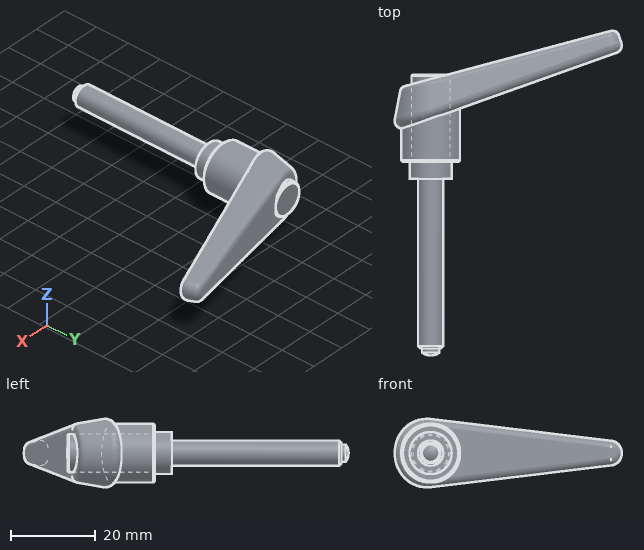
import cadquery as cq
import math


HUB_RADIUS = 7.0
HUB_TOP = 13.8
HUB_CHAMFER = 0.45

LOWER_SLOPE = 19.6
LOWER_HEIGHT = 10.1
LOWER_HEAD_OFFSET = -1.15
LOWER_HEAD_RADIUS = 8.5
LOWER_TIP_OFFSET = 45.2
LOWER_TIP_RADIUS = 3.3
UPPER_SLOPE = 15.0
UPPER_HEIGHT = 19.6
UPPER_HEAD_OFFSET = -0.45
UPPER_HEAD_RADIUS = 6.8
UPPER_TIP_OFFSET = 43.1
UPPER_TIP_RADIUS = 2.45
LOWER_FILLET = 1.85
UPPER_FILLET = 1.5

BUTTON_RADIUS = 4.5
BUTTON_TOP = 20.65
BUTTON_CHAMFER = 0.3
COLLAR_RADIUS = 5.0
COLLAR_LENGTH = 4.0
SHAFT_RADIUS = 3.0
SHAFT_END = -44.1
SHAFT_CHAMFER = 0.6
NOSE_RADIUS = 2.1
NOSE_LENGTH = 0.9
DOME_HEIGHT = 0.8


def arm_outline(slope, height, head_x, head_radius, tip_x, tip_radius):
    """Two round ends joined by tangent lines, on a plane rising along +X."""
    angle = math.radians(slope)
    plane = cq.Plane(
        origin=(0, height, 0),
        xDir=(math.cos(angle), math.sin(angle), 0),
        normal=(-math.sin(angle), math.cos(angle), 0),
    )
    tangent_cos = (head_radius - tip_radius) / (tip_x - head_x)
    tangent_sin = math.sqrt(1 - tangent_cos**2)
    head_tangent_x = head_x + head_radius * tangent_cos
    head_tangent_z = head_radius * tangent_sin
    tip_tangent_x = tip_x + tip_radius * tangent_cos
    tip_tangent_z = tip_radius * tangent_sin
    outline = (
        cq.Workplane(plane)
        .moveTo(head_tangent_x, -head_tangent_z)
        .lineTo(tip_tangent_x, -tip_tangent_z)
        .threePointArc((tip_x + tip_radius, 0), (tip_tangent_x, tip_tangent_z))
        .lineTo(head_tangent_x, head_tangent_z)
        .threePointArc((head_x - head_radius, 0), (head_tangent_x, -head_tangent_z))
        .close()
    )
    return outline.val()


def make_arm():
    """Tapered arm between its two sloping faces, with rounded rims."""
    lower = arm_outline(
        LOWER_SLOPE, LOWER_HEIGHT, LOWER_HEAD_OFFSET, LOWER_HEAD_RADIUS, LOWER_TIP_OFFSET, LOWER_TIP_RADIUS
    )
    upper = arm_outline(
        UPPER_SLOPE, UPPER_HEIGHT, UPPER_HEAD_OFFSET, UPPER_HEAD_RADIUS, UPPER_TIP_OFFSET, UPPER_TIP_RADIUS
    )
    arm = cq.Workplane(cq.Solid.makeLoft([lower, upper], True))
    arm = arm.faces("%PLANE").faces("<Y").edges().fillet(LOWER_FILLET)
    return arm.faces("%PLANE").faces(">Y").edges().fillet(UPPER_FILLET)


def make_hub():
    """Round hub under the arm, chamfered at its lower rim."""
    hub = cq.Workplane("XZ").circle(HUB_RADIUS).extrude(-HUB_TOP)
    return hub.faces("<Y").edges().chamfer(HUB_CHAMFER)


def make_handle():
    """Arm and hub in one piece, bored through for the pin."""
    bore = cq.Workplane("XZ").circle(BUTTON_RADIUS).extrude(-2 * BUTTON_TOP)
    return make_arm().union(make_hub()).cut(bore)


def make_pin():
    """Turned pin: button, collar, shaft and domed nose."""
    nose_end = SHAFT_END - NOSE_LENGTH
    dome_end = nose_end - DOME_HEIGHT
    dome_radius = (NOSE_RADIUS**2 + DOME_HEIGHT**2) / (2 * DOME_HEIGHT)
    half_angle = math.asin(NOSE_RADIUS / dome_radius) / 2
    dome_middle = (
        dome_radius * math.sin(half_angle),
        dome_end + dome_radius * (1 - math.cos(half_angle)),
    )
    profile = (
        cq.Workplane("XY")
        .moveTo(0, BUTTON_TOP)
        .lineTo(BUTTON_RADIUS - BUTTON_CHAMFER, BUTTON_TOP)
        .lineTo(BUTTON_RADIUS, BUTTON_TOP - BUTTON_CHAMFER)
        .lineTo(BUTTON_RADIUS, 0)
        .lineTo(COLLAR_RADIUS, 0)
        .lineTo(COLLAR_RADIUS, -COLLAR_LENGTH)
        .lineTo(SHAFT_RADIUS, -COLLAR_LENGTH)
        .lineTo(SHAFT_RADIUS, SHAFT_END + SHAFT_CHAMFER)
        .lineTo(SHAFT_RADIUS - SHAFT_CHAMFER, SHAFT_END)
        .lineTo(NOSE_RADIUS, SHAFT_END)
        .lineTo(NOSE_RADIUS, nose_end)
        .threePointArc(dome_middle, (0, dome_end))
        .close()
    )
    return profile.revolve(360, (0, 0, 0), (0, 1, 0))


handle = make_handle()
pin = make_pin()
result = cq.Compound.makeCompound([handle.val(), pin.val()])